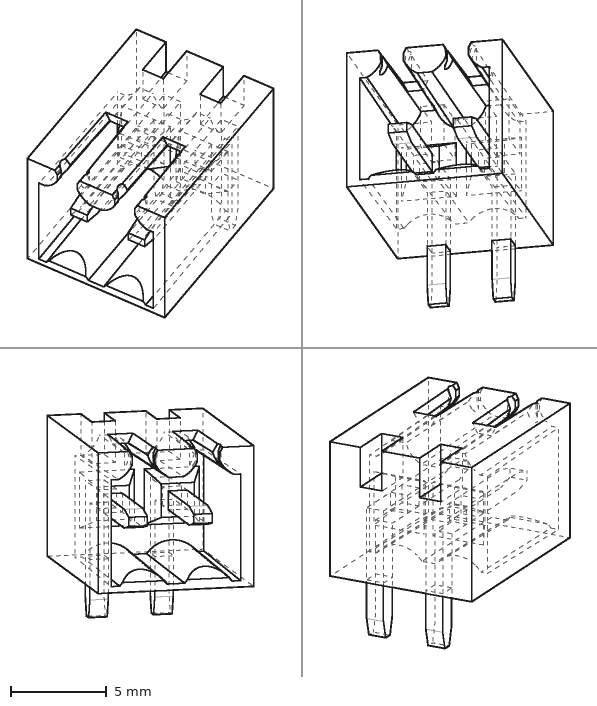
import cadquery as cq
import math


width = 8.4
length = 11.05
height = 7.49

pitch = 3.5
way_xs = [-pitch / 2, pitch / 2]
pin_z = 3.51

collar_base = 2.98
collar_top = 1.79
collar_length = 1.29

cavity_width = 6.98
cavity_depth = 7.96
draft = math.tan(math.radians(1))
floor_z = 0.34
ceiling_z = height - 1.47

rail_axis_z = -0.54
guide_radius = 1.56
lead_in_z = 0.53
lead_in_rise = math.tan(math.radians(30))

flank_offset = 2.03
flank_axis_z = height - 0.07
keyway_top_z = height - 0.43

slot_length = 5.02
slot_half_width = 0.76
slot_slope = math.tan(math.radians(27))
slot_floor_z = keyway_top_z - draft * slot_length

throat_width = 1.23
cross_slot_width = 1.68
cross_slot_radius = 0.39
cross_slot_y = 0.74

pocket_width = 1.26
pocket_length = 2.36
pocket_depth = 2.21

pin_size = 1.01
pin_front_y = 1.18
pin_back_y = length - 0.43
pin_bottom_z = -3.16
tip_length = 1.01
tip_inset = 0.25


def side_prism(points, x, across):
    """Prism of a (y, z) outline, centred on x and measuring `across` along X."""
    return cq.Workplane("YZ", origin=(x, 0, 0)).polyline(points).close().extrude(across / 2, both=True)


def guide_cone(x, z):
    """Drafted round guide along Y that widens towards the back of the cavity."""
    back_radius = guide_radius + draft * cavity_depth
    cone = cq.Solid.makeCone(
        guide_radius, back_radius, cavity_depth, pnt=cq.Vector(x, 0, z), dir=cq.Vector(0, 1, 0)
    )
    return cq.Workplane(obj=cone)


def floor_rail(x):
    """Rounded floor rail whose front end slopes down to the open face."""
    lead_in_end_z = lead_in_z + lead_in_rise * cavity_depth
    below_lead_in = [(0, 0), (cavity_depth, 0), (cavity_depth, lead_in_end_z), (0, lead_in_z)]
    return guide_cone(x, rail_axis_z).intersect(side_prism(below_lead_in, x, pitch))


def plug_cavity():
    closing = draft * cavity_depth
    outline = [
        (0, floor_z),
        (cavity_depth, floor_z + closing),
        (cavity_depth, ceiling_z - closing),
        (0, ceiling_z),
    ]
    cavity = side_prism(outline, 0, cavity_width)
    for x in way_xs:
        cavity = cavity.cut(floor_rail(x))
    return cavity


def keyway(x):
    closing = draft * cavity_depth
    outline = [
        (0, ceiling_z),
        (cavity_depth, ceiling_z - closing),
        (cavity_depth, keyway_top_z - closing),
        (0, keyway_top_z),
    ]
    cutter = side_prism(outline, x, pitch)
    for side in (-1, 1):
        cutter = cutter.cut(guide_cone(x + side * flank_offset, flank_axis_z))
    return cutter


def slot_outline(x, y):
    top_half = slot_half_width - draft * y
    floor_half = top_half - slot_slope * (height - slot_floor_z)
    corners = [
        cq.Vector(x - top_half, y, height),
        cq.Vector(x + top_half, y, height),
        cq.Vector(x + floor_half, y, slot_floor_z),
        cq.Vector(x - floor_half, y, slot_floor_z),
    ]
    return cq.Wire.makePolygon(corners, close=True)


def v_slot(x):
    slot = cq.Solid.makeLoft([slot_outline(x, 0), slot_outline(x, slot_length)], True)
    return cq.Workplane(obj=slot)


def slot_entry(x):
    top = cq.Workplane("XY", origin=(x, 0, height))
    depth = height - ceiling_z
    throat = top.center(0, cross_slot_y / 2).rect(throat_width, cross_slot_y).extrude(-depth)
    cross_slot = (
        top.center(0, cross_slot_y).slot2D(cross_slot_width, 2 * cross_slot_radius).extrude(-depth)
    )
    return throat.union(cross_slot)


def back_pocket(x):
    return (
        cq.Workplane("XY", origin=(x, length - pocket_length / 2, height))
        .rect(pocket_width, pocket_length)
        .extrude(-pocket_depth)
    )


def make_pin(x):
    """Square pin bent to a right angle, with its contact and solder ends tapered on two sides."""
    half = pin_size / 2
    top_z = pin_z + half
    under_z = pin_z - half
    leg_front_y = pin_back_y - pin_size
    outline = [
        (pin_front_y, top_z - tip_inset),
        (pin_front_y + tip_length, top_z),
        (pin_back_y, top_z),
        (pin_back_y, pin_bottom_z + tip_length),
        (pin_back_y - tip_inset, pin_bottom_z),
        (leg_front_y + tip_inset, pin_bottom_z),
        (leg_front_y, pin_bottom_z + tip_length),
        (leg_front_y, under_z),
        (pin_front_y + tip_length, under_z),
        (pin_front_y, under_z + tip_inset),
    ]
    return side_prism(outline, x, pin_size)


def make_collar(x, pin):
    """Frustum around the pin, in front of the cavity's back wall."""
    return (
        cq.Workplane("XZ", origin=(x, cavity_depth, pin_z))
        .rect(collar_base, collar_base)
        .workplane(offset=collar_length)
        .rect(collar_top, collar_top)
        .loft(ruled=True)
        .cut(pin)
    )


def make_housing(pins):
    body = cq.Workplane("XY").box(width, length, height, centered=(True, False, False))
    body = body.cut(plug_cavity())
    for x, pin in zip(way_xs, pins):
        body = body.cut(keyway(x)).cut(v_slot(x)).cut(slot_entry(x))
        body = body.cut(back_pocket(x)).cut(pin)
    return body


pins = [make_pin(x) for x in way_xs]
collars = [make_collar(x, pin) for x, pin in zip(way_xs, pins)]
housing = make_housing(pins)

result = cq.Compound.makeCompound([housing.val(), *[body.val() for body in pins + collars]])